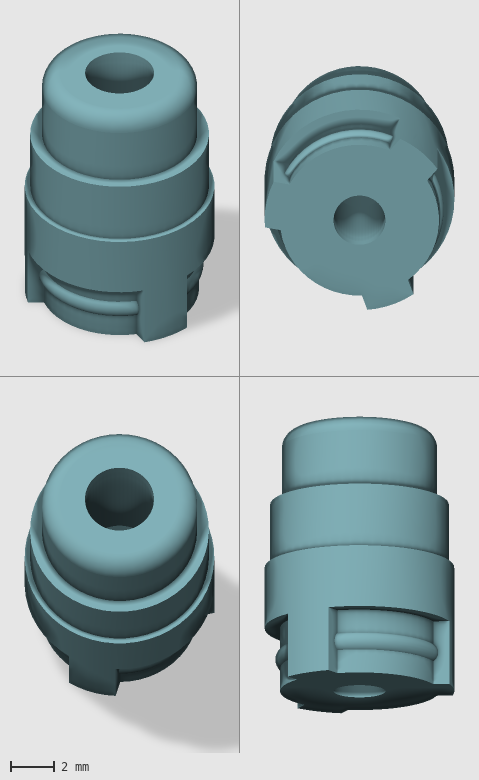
import cadquery as cq
import math

total_height = 12.4
collar_diameter = 8.8
shoulder_diameter = 8.3
nose_diameter = 7.2
core_diameter = 7.38
lug_height = 3.0
collar_top = 5.9
shoulder_top = 8.9
nose_fillet = 0.8

lug_count = 3
lug_width = 2.27

bead_radius = 0.5
bead_ring_radius = 3.41
bead_height = 1.51

socket_diameter = 3.2
neck_diameter = 2.58
bore_diameter = 2.4
socket_floor = collar_top
upper_cone_slope = 45.0
lower_cone_slope = 60.0


def cylinder(diameter, bottom, top):
    return cq.Workplane("XY").workplane(offset=bottom).circle(diameter / 2).extrude(top - bottom)


def make_body():
    """Core, collar, shoulder and round-edged nose, from the base up."""
    nose = cylinder(nose_diameter, shoulder_top, total_height).faces(">Z").edges().fillet(nose_fillet)
    shoulder = cylinder(shoulder_diameter, collar_top, shoulder_top)
    collar = cylinder(collar_diameter, lug_height, collar_top)
    core = cylinder(core_diameter, 0, lug_height)
    return core.union(collar).union(shoulder).union(nose)


def make_lugs():
    """Lugs evenly spaced about Z, the first on +X, flush with the collar outside."""
    collar_radius = collar_diameter / 2
    bar = cq.Workplane("XY").box(collar_radius, lug_width, lug_height, centered=(False, True, False))
    lugs = bar
    for index in range(1, lug_count):
        lugs = lugs.union(bar.rotate((0, 0, 0), (0, 0, 1), index * 360 / lug_count))
    return lugs.intersect(cylinder(collar_diameter, 0, lug_height))


def make_bead():
    """Full ring about Z that bulges out of the core between the lugs."""
    profile = cq.Workplane("XZ").center(bead_ring_radius, bead_height).circle(bead_radius)
    return profile.revolve(360, (-bead_ring_radius, 0), (-bead_ring_radius, 1))


def make_bore():
    """Revolve the bore's half profile about Z: hole, steep cone, 45 degree cone, socket."""
    socket_radius = socket_diameter / 2
    neck_radius = neck_diameter / 2
    bore_radius = bore_diameter / 2
    neck_z = socket_floor - (socket_radius - neck_radius) * math.tan(math.radians(upper_cone_slope))
    bore_top = neck_z - (neck_radius - bore_radius) * math.tan(math.radians(lower_cone_slope))
    profile = (
        cq.Workplane("XZ")
        .lineTo(bore_radius, 0)
        .lineTo(bore_radius, bore_top)
        .lineTo(neck_radius, neck_z)
        .lineTo(socket_radius, socket_floor)
        .lineTo(socket_radius, total_height)
        .lineTo(0, total_height)
        .close()
    )
    return profile.revolve(360, (0, 0), (0, 1))


result = make_body().union(make_lugs()).union(make_bead()).cut(make_bore())